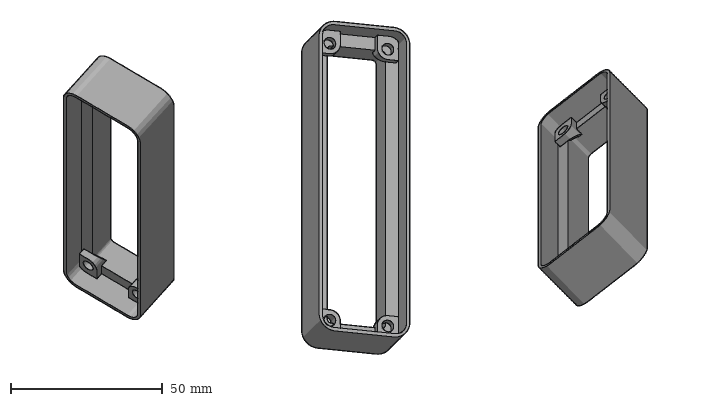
import cadquery as cq

WIDTH = 31.4
DEPTH = 18.8
HEIGHT = 107.4
CORNER_RADIUS = 5.6

WALL = 1.2
CAVITY_RADIUS = 4.0

FRAME_MARGIN = 5.6
FRAME_DEPTH = 10.2
OPENING_RADIUS = 1.5

HOLE_DIAMETER = 4.0
HOLE_INSET = 5.7
BOSS_RADIUS = 3.6
BOSS_PROTRUSION = 2.6
BOSS_REAR_LENGTH = 2.7

FRONT_Y = -DEPTH / 2
FRAME_FRONT_Y = DEPTH / 2 - FRAME_DEPTH
BOSS_FRONT_Y = FRAME_FRONT_Y - BOSS_PROTRUSION
BOSS_REAR_Y = FRAME_FRONT_Y + BOSS_REAR_LENGTH
BOSS_LENGTH = BOSS_PROTRUSION + BOSS_REAR_LENGTH
HOLE_X = WIDTH / 2 - HOLE_INSET
HOLE_Z = HEIGHT / 2 - HOLE_INSET


def rounded_block(inset, radius, length):
    """Rounded block set in from the outer outline, running from the front toward +Y."""
    return (
        cq.Workplane("XZ", origin=(0, FRONT_Y, 0))
        .rect(WIDTH - 2 * inset, HEIGHT - 2 * inset)
        .extrude(-length)
        .edges("|Y")
        .fillet(radius)
    )


def outer_body():
    """Full outer shape, without cavity or opening."""
    return rounded_block(0, CORNER_RADIUS, DEPTH)


def frame():
    """Outer body with the front cavity and the smaller rear opening."""
    cavity = rounded_block(WALL, CAVITY_RADIUS, DEPTH - FRAME_DEPTH)
    opening = rounded_block(FRAME_MARGIN, OPENING_RADIUS, DEPTH)
    return outer_body().cut(cavity).cut(opening)


def boss_blank(x_side, z_side):
    """Undrilled boss: one round corner toward the opening, reaching into the end wall."""
    x_center = x_side * HOLE_X
    z_center = z_side * HOLE_Z
    x_outer = x_side * (HOLE_X + BOSS_RADIUS)
    x_inner = x_side * (HOLE_X - BOSS_RADIUS)
    z_outer = z_side * HEIGHT / 2
    z_inner = z_side * (HOLE_Z - BOSS_RADIUS)
    block = (
        cq.Workplane("XZ", origin=(0, BOSS_FRONT_Y, 0))
        .moveTo(x_outer, z_outer)
        .lineTo(x_outer, z_inner)
        .lineTo(x_center, z_inner)
        .radiusArc((x_inner, z_center), x_side * z_side * BOSS_RADIUS)
        .lineTo(x_inner, z_outer)
        .close()
        .extrude(-BOSS_LENGTH)
    )
    return block.intersect(outer_body())


def rear_slope(z_side):
    """Wedge that slopes the rear of a boss back toward the end of the opening."""
    z_inner = z_side * (HOLE_Z - BOSS_RADIUS)
    z_opening_end = z_side * (HEIGHT / 2 - FRAME_MARGIN)
    return (
        cq.Workplane("YZ", origin=(-WIDTH / 2, 0, 0))
        .moveTo(FRAME_FRONT_Y, z_inner)
        .lineTo(BOSS_REAR_Y, z_opening_end)
        .lineTo(BOSS_REAR_Y, z_inner)
        .close()
        .extrude(WIDTH)
    )


def boss_hole(x_side, z_side):
    """Screw hole along the whole boss."""
    return (
        cq.Workplane("XZ", origin=(0, BOSS_FRONT_Y, 0))
        .center(x_side * HOLE_X, z_side * HOLE_Z)
        .circle(HOLE_DIAMETER / 2)
        .extrude(-BOSS_LENGTH)
    )


def drilled_boss(x_side, z_side):
    """Finished boss for one corner."""
    blank = boss_blank(x_side, z_side).cut(rear_slope(z_side))
    return blank.cut(boss_hole(x_side, z_side))


result = frame()
for x_side in (-1, 1):
    for z_side in (-1, 1):
        result = result.union(drilled_boss(x_side, z_side))